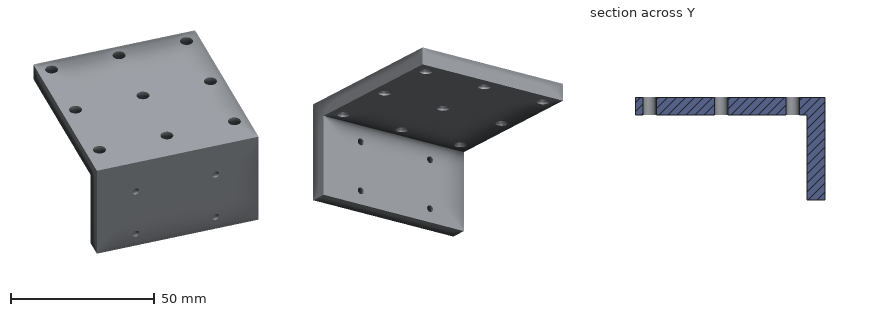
import cadquery as cq

length = 66.35
width = 60.0
height = 36.0
thickness = 6.4

plate_hole_diameter = 4.5
plate_hole_pitch = 25.0
plate_hole_count = 3
plate_hole_end_margin = 5.0

flange_hole_diameter = 2.5
flange_hole_pitch_y = 29.65
flange_hole_pitch_z = 18.4
flange_hole_offset_y = -0.7
flange_hole_bottom_margin = 5.1


def make_bracket():
    """L-shaped body: free end at X = 0, centred on Y, flange bottom at Z = 0."""
    outline = [
        (0, height),
        (length, height),
        (length, 0),
        (length - thickness, 0),
        (length - thickness, height - thickness),
        (0, height - thickness),
    ]
    return cq.Workplane("XZ").polyline(outline).close().extrude(width / 2, both=True)


def make_plate_holes():
    """Vertical cylinders passing through the horizontal plate."""
    grid_centre_x = plate_hole_end_margin + plate_hole_pitch * (plate_hole_count - 1) / 2
    return (
        cq.Workplane("XY", origin=(grid_centre_x, 0, height - thickness))
        .rarray(plate_hole_pitch, plate_hole_pitch, plate_hole_count, plate_hole_count)
        .circle(plate_hole_diameter / 2)
        .extrude(thickness)
    )


def make_flange_holes():
    """Cylinders along X passing through the vertical flange."""
    pattern_centre_z = flange_hole_bottom_margin + flange_hole_pitch_z / 2
    return (
        cq.Workplane("YZ", origin=(length - thickness, flange_hole_offset_y, pattern_centre_z))
        .rarray(flange_hole_pitch_y, flange_hole_pitch_z, 2, 2)
        .circle(flange_hole_diameter / 2)
        .extrude(thickness)
    )


result = make_bracket().cut(make_plate_holes()).cut(make_flange_holes())